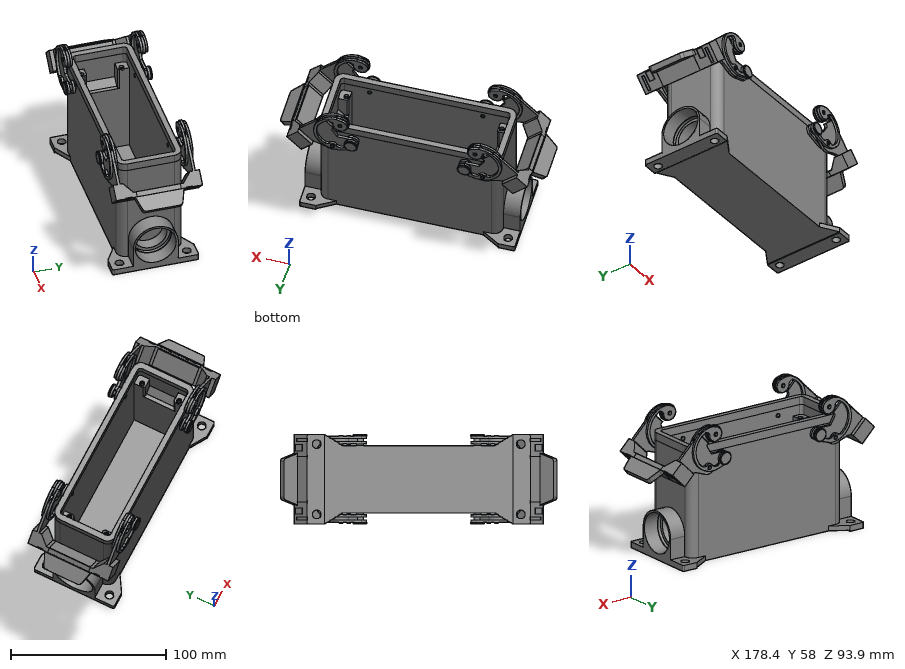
import cadquery as cq
import math

SHELL_LENGTH = 121.5
SHELL_WIDTH = 43.5
SHELL_CORNER = 6.0
SHELL_BOTTOM = 0.7
SHELL_TOP = 74.6
RIM_TOP = 80.0
CAVITY_LENGTH = 113.5
CAVITY_WIDTH = 36.0
CAVITY_CORNER = 2.1
FLOOR_TOP = 4.6

POST_LENGTH = 7.1
POST_WIDTH = 7.7
POST_TOP = 67.8
POST_CHAMFER = 1.2
POST_SCREW_X = 52.0
POST_SCREW_Y = 13.4
SCREW_DIAMETER = 2.0
SCREW_SINK_DIAMETER = 3.2
SCREW_SINK_DEPTH = 1.8
SCREW_DEPTH = 10.7
LEDGE_TOP = 52.5
LEDGE_SLOPE = 4.5

OVERALL_WIDTH = 58.0
FOOT_END_X = 72.0
FOOT_PAD_X = 60.9
FOOT_TIP_X = 49.0
FOOT_TOP = 4.1
FOOT_CORNER = 1.0
FOOT_HOLE_X = 65.9
FOOT_HOLE_Y = 22.7
FOOT_HOLE_DIAMETER = 5.5

ENTRY_Z = 18.0
ENTRY_RADIUS = 15.2
ENTRY_BORE_STEPS = ((13.7, 10.4), (13.4, 12.5), (11.2, 20.5))

LAYER_MIDDLE = 25.3
PLATE_THICKNESS = 1.8
CHEEK_THICKNESS = 1.6
LAYER_STACK = PLATE_THICKNESS + 2 * CHEEK_THICKNESS
LAYER_INSIDE = LAYER_MIDDLE - LAYER_STACK / 2
LAYER_OUTSIDE = LAYER_MIDDLE + LAYER_STACK / 2
RIVET_PROJECTION = 0.5
RIVET_BASE_RADIUS = 1.5
RIVET_TIP_RADIUS = 0.98

PIVOT = (-37.8, 70.5)
PIVOT_RADIUS = 4.3
PIVOT_HEAD_RADIUS = 4.5
PIVOT_COLLAR_RADIUS = 2.3
PIVOT_HEAD_CHAMFER = 0.5
PIVOT_PIN_DIAMETER = 2.7
PIVOT_PIN_SETBACK = 0.7

RING_CENTRE = (-47.7, 78.7)
RING_OUTER_RADIUS = 15.2
RING_INNER_RADIUS = 13.2
RING_INNER_END = 237.0
RING_INNER_START = 113.0
HOOK_CENTRE = (-45.2, 88.2)
HOOK_RADIUS = 4.8
ROLLER_RADIUS = 5.5
LOWER_RIVET = (-50.2, 66.4)

BLOCK_CORNER = (-73.2, 74.8)
BLOCK_LENGTH = 10.2
BLOCK_DEPTH = 13.7
BLOCK_INSIDE = 22.7
BAR_INSIDE = 16.8
BAR_THICKNESS = 3.4
PLATE_REACH = 22.3
PLATE_END_DEPTH = 11.0
RECESS_DEPTH = 0.5
SLOT_START = 2.0
SLOT_END = 12.3
POCKET_START = 0.5
POCKET_END = 7.0
POCKET_INSIDE = 18.4
POCKET_OUTSIDE = 22.5

GRIP_HALF_WIDTH = 14.8
GRIP_SKIN = 0.7
TONGUE_TIP = (-89.2, 61.8)
TONGUE_ANGLE = 37.0
TONGUE_THICKNESS = 4.0
TONGUE_LENGTH = 13.4
TONGUE_FLARE_START = 9.3
TONGUE_FLARE_WIDTH = 32.1
TONGUE_ROOT_WIDTH = 35.7
TONGUE_TIP_WIDTH = 26.0
TONGUE_CORNER = 2.1


def polar(centre, radius, degrees):
    """Point at an angle on a circle in the XZ plane."""
    angle = math.radians(degrees)
    return (centre[0] + radius * math.cos(angle), centre[1] + radius * math.sin(angle))


def slope_point(along, depth):
    """XZ position of a point given in the lever block's sloping directions."""
    diagonal = math.sqrt(0.5)
    x = BLOCK_CORNER[0] + (along + depth) * diagonal
    z = BLOCK_CORNER[1] + (along - depth) * diagonal
    return (x, z)


def slope_plane(depth=0.0):
    """Plane with local X up the slope and its normal along the block depth."""
    x, z = slope_point(0, depth)
    return cq.Plane(origin=(x, 0, z), xDir=(1, 0, 1), normal=(1, 0, -1))


def side_sketch(distance):
    """XZ workplane at a distance on the -Y side; extruding moves away from the middle."""
    return cq.Workplane("XZ", origin=(0, -distance, 0))


def side_disc(centre, radius, start, end):
    """Disc on the -Y side between two distances from the middle plane."""
    return side_sketch(start).center(*centre).circle(radius).extrude(end - start)


def mirrored(shape, plane):
    """Shape joined with its mirror image."""
    return shape.union(shape.mirror(plane))


def rounded_block(length, width, corner, bottom, top):
    """Upright block with rounded vertical edges."""
    block = cq.Workplane("XY", origin=(0, 0, bottom)).rect(length, width).extrude(top - bottom)
    return block.edges("|Z").fillet(corner)


def cavity(bottom, top):
    """Opening shared by the shell and the rim."""
    return rounded_block(CAVITY_LENGTH, CAVITY_WIDTH, CAVITY_CORNER, bottom, top)


def end_foot():
    """Mounting foot at the -X end with two screw holes."""
    half_width = OVERALL_WIDTH / 2
    pad = (
        cq.Workplane("XY")
        .center(-(FOOT_END_X + FOOT_PAD_X) / 2, 0)
        .rect(FOOT_END_X - FOOT_PAD_X, OVERALL_WIDTH)
        .extrude(FOOT_TOP)
        .edges("|Z and <X")
        .fillet(FOOT_CORNER)
    )
    wedge_outline = [
        (-FOOT_PAD_X, -half_width),
        (-FOOT_TIP_X, -SHELL_WIDTH / 2),
        (-FOOT_TIP_X, SHELL_WIDTH / 2),
        (-FOOT_PAD_X, half_width),
    ]
    wedge = (
        cq.Workplane("XY", origin=(0, 0, SHELL_BOTTOM))
        .polyline(wedge_outline)
        .close()
        .extrude(FOOT_TOP - SHELL_BOTTOM)
    )
    holes = (
        cq.Workplane("XY")
        .pushPoints([(-FOOT_HOLE_X, -FOOT_HOLE_Y), (-FOOT_HOLE_X, FOOT_HOLE_Y)])
        .circle(FOOT_HOLE_DIAMETER / 2)
        .extrude(FOOT_TOP)
    )
    return pad.union(wedge).cut(holes)


def entry_boss():
    """Arched cable entry boss at the -X end."""
    length = FOOT_END_X - SHELL_LENGTH / 2
    barrel = cq.Workplane("YZ", origin=(-FOOT_END_X, 0, ENTRY_Z)).circle(ENTRY_RADIUS).extrude(length)
    base = (
        cq.Workplane("YZ", origin=(-FOOT_END_X, 0, ENTRY_Z / 2))
        .rect(2 * ENTRY_RADIUS, ENTRY_Z)
        .extrude(length)
    )
    return barrel.union(base)


def entry_bore():
    """Stepped blind bore of the cable entry at the -X end."""
    face = cq.Workplane("YZ", origin=(-FOOT_END_X, 0, ENTRY_Z))
    bore = cq.Workplane("XY")
    for radius, depth in ENTRY_BORE_STEPS:
        bore = bore.union(face.circle(radius).extrude(depth))
    return bore


def end_ledge():
    """Ledge along the -X end wall that slopes up to the wall."""
    wall_x = -CAVITY_LENGTH / 2
    outline = [
        (wall_x, FLOOR_TOP),
        (wall_x + POST_LENGTH, FLOOR_TOP),
        (wall_x + POST_LENGTH, LEDGE_TOP),
        (wall_x + LEDGE_SLOPE, LEDGE_TOP),
        (wall_x, LEDGE_TOP + LEDGE_SLOPE),
    ]
    return (
        cq.Workplane("XZ", origin=(0, CAVITY_WIDTH / 2, 0))
        .polyline(outline)
        .close()
        .extrude(CAVITY_WIDTH)
    )


def corner_post():
    """Post with a counterbored screw hole in the -X, -Y corner of the cavity."""
    centre_x = (POST_LENGTH - CAVITY_LENGTH) / 2
    centre_y = (POST_WIDTH - CAVITY_WIDTH) / 2
    post = (
        cq.Workplane("XY", origin=(centre_x, centre_y, FLOOR_TOP))
        .rect(POST_LENGTH, POST_WIDTH)
        .extrude(POST_TOP - FLOOR_TOP)
        .edges("|Z and >X and >Y")
        .chamfer(POST_CHAMFER)
    )
    top = cq.Workplane("XY", origin=(-POST_SCREW_X, -POST_SCREW_Y, POST_TOP))
    hole = top.circle(SCREW_DIAMETER / 2).extrude(-SCREW_DEPTH)
    sink = top.circle(SCREW_SINK_DIAMETER / 2).extrude(-SCREW_SINK_DEPTH)
    return post.cut(hole).cut(sink)


def make_housing():
    """Open-topped housing with feet, cable entries, posts and pivot holes."""
    shell = rounded_block(SHELL_LENGTH, SHELL_WIDTH, SHELL_CORNER, SHELL_BOTTOM, SHELL_TOP)
    outside = shell.union(mirrored(end_foot().union(entry_boss()), "YZ"))
    housing = outside.cut(cavity(FLOOR_TOP, SHELL_TOP))
    housing = housing.union(mirrored(end_ledge(), "YZ"))
    housing = housing.union(mirrored(mirrored(corner_post(), "XZ"), "YZ"))
    pivot_hole = side_disc(PIVOT, PIVOT_PIN_DIAMETER / 2, CAVITY_WIDTH / 2, SHELL_WIDTH / 2)
    pivot_holes = mirrored(mirrored(pivot_hole, "XZ"), "YZ")
    return housing.cut(mirrored(entry_bore(), "YZ")).cut(pivot_holes)


def make_rim():
    """Closed frame that sits on the top edge of the housing."""
    frame = rounded_block(SHELL_LENGTH, SHELL_WIDTH, SHELL_CORNER, SHELL_TOP, RIM_TOP)
    return frame.cut(cavity(SHELL_TOP, RIM_TOP))


def side_plate():
    """Middle layer of a lever arm, from the block to the pivot, with the hook roller."""
    start = LAYER_MIDDLE - PLATE_THICKNESS / 2
    end = LAYER_MIDDLE + PLATE_THICKNESS / 2
    plate = (
        side_sketch(start)
        .moveTo(*slope_point(0, 0))
        .lineTo(*slope_point(PLATE_REACH, 0))
        .lineTo(*slope_point(PLATE_REACH, PLATE_END_DEPTH))
        .threePointArc((-50.9, 81.2), (-50.5, 79.8))
        .lineTo(-47.3, SHELL_TOP)
        .lineTo(PIVOT[0], SHELL_TOP)
        .lineTo(*PIVOT)
        .lineTo(-45.3, 63.9)
        .threePointArc((-49.6, 61.4), (-54.5, 62.5))
        .lineTo(-60.5, 64.6)
        .lineTo(*slope_point(0, BLOCK_DEPTH))
        .close()
        .extrude(end - start)
    )
    return plate.union(side_disc(HOOK_CENTRE, ROLLER_RADIUS, start, end))


def hooked_cheek(start):
    """Hook-shaped layer of a lever arm, starting at a distance from the middle plane."""
    end = start + CHEEK_THICKNESS
    ring = (
        side_sketch(start)
        .moveTo(*polar(RING_CENTRE, RING_OUTER_RADIUS, 90))
        .threePointArc(
            polar(RING_CENTRE, RING_OUTER_RADIUS, 180),
            polar(RING_CENTRE, RING_OUTER_RADIUS, 280),
        )
        .lineTo(*polar(PIVOT, PIVOT_RADIUS, -65))
        .lineTo(*PIVOT)
        .lineTo(-41.5, 68.7)
        .threePointArc((-45.2, 66.2), (-47.7, 67.3))
        .threePointArc((-50.2, 69.0), (-52.7, 67.8))
        .lineTo(*polar(RING_CENTRE, RING_INNER_RADIUS, RING_INNER_END))
        .threePointArc(
            polar(RING_CENTRE, RING_INNER_RADIUS, 180),
            polar(RING_CENTRE, RING_INNER_RADIUS, RING_INNER_START),
        )
        .threePointArc((-51.0, 90.1), (-49.8, 88.5))
        .lineTo(*HOOK_CENTRE)
        .lineTo(*polar(HOOK_CENTRE, HOOK_RADIUS, 75))
        .close()
        .extrude(CHEEK_THICKNESS)
    )
    hook_end = side_disc(HOOK_CENTRE, HOOK_RADIUS, start, end)
    pivot_end = side_disc(PIVOT, PIVOT_RADIUS, start, end)
    return ring.union(hook_end).union(pivot_end)


def rivet_head(centre, distance, projection):
    """Tapered rivet head; a negative projection points towards the middle plane."""
    return (
        side_sketch(distance)
        .center(*centre)
        .circle(RIVET_BASE_RADIUS)
        .workplane(offset=projection)
        .circle(RIVET_TIP_RADIUS)
        .loft()
    )


def pivot_pin():
    """Pivot with outer head, collar against the housing and pin set into its wall."""
    pin_end = CAVITY_WIDTH / 2 + PIVOT_PIN_SETBACK
    pin = side_disc(PIVOT, PIVOT_PIN_DIAMETER / 2, pin_end, LAYER_OUTSIDE)
    collar = side_disc(PIVOT, PIVOT_COLLAR_RADIUS, SHELL_WIDTH / 2, LAYER_OUTSIDE)
    head = side_disc(PIVOT, PIVOT_HEAD_RADIUS, LAYER_OUTSIDE, OVERALL_WIDTH / 2)
    head = head.faces("<Y").chamfer(PIVOT_HEAD_CHAMFER)
    return pin.union(collar).union(head)


def lever_arm():
    """Complete layered arm on the -Y side."""
    arm = side_plate()
    for start in (LAYER_INSIDE, LAYER_OUTSIDE - CHEEK_THICKNESS):
        arm = arm.union(hooked_cheek(start))
    for centre in (HOOK_CENTRE, LOWER_RIVET):
        arm = arm.union(rivet_head(centre, LAYER_OUTSIDE, RIVET_PROJECTION))
        arm = arm.union(rivet_head(centre, LAYER_INSIDE, -RIVET_PROJECTION))
    return arm.union(pivot_pin())


def block_box(along, side, depth):
    """Box in the block's directions from (start, end) pairs; side is a distance in Y."""
    return (
        cq.Workplane(slope_plane(depth[0]))
        .center(sum(along) / 2, sum(side) / 2)
        .rect(along[1] - along[0], side[1] - side[0])
        .extrude(depth[1] - depth[0])
    )


def grip_insert():
    """Part of the grip that fills the seat in the block's cross bar."""
    return block_box(
        (-BLOCK_LENGTH, BAR_THICKNESS - BLOCK_LENGTH),
        (-GRIP_HALF_WIDTH, GRIP_HALF_WIDTH),
        (GRIP_SKIN, BLOCK_DEPTH),
    )


def lever_block():
    """U-shaped block that joins the two arms, with a seat for the grip."""
    half_width = OVERALL_WIDTH / 2
    bar_inside = BAR_THICKNESS - BLOCK_LENGTH
    outline = [
        (-BLOCK_LENGTH, -half_width),
        (0, -half_width),
        (0, -BLOCK_INSIDE),
        (bar_inside, -BAR_INSIDE),
        (bar_inside, BAR_INSIDE),
        (0, BLOCK_INSIDE),
        (0, half_width),
        (-BLOCK_LENGTH, half_width),
    ]
    block = cq.Workplane(slope_plane()).polyline(outline).close().extrude(BLOCK_DEPTH)
    recess = (-BLOCK_LENGTH, RECESS_DEPTH - BLOCK_LENGTH)
    slot_side = (LAYER_MIDDLE - PLATE_THICKNESS / 2, LAYER_MIDDLE + PLATE_THICKNESS / 2)
    slot = block_box(recess, slot_side, (SLOT_START, SLOT_END))
    pocket = block_box(recess, (POCKET_INSIDE, POCKET_OUTSIDE), (POCKET_START, POCKET_END))
    return block.cut(mirrored(slot.union(pocket), "XZ")).cut(grip_insert())


def make_lever():
    """Locking lever at the -X end."""
    return lever_block().union(mirrored(lever_arm(), "XZ"))


def make_grip():
    """Finger grip at the -X end: a tapered tongue on the insert in the lever block."""
    angle = math.radians(TONGUE_ANGLE)
    tongue_plane = cq.Plane(
        origin=(TONGUE_TIP[0], 0, TONGUE_TIP[1]),
        xDir=(math.cos(angle), 0, math.sin(angle)),
        normal=(math.sin(angle), 0, -math.cos(angle)),
    )
    outline = [
        (0, -TONGUE_TIP_WIDTH / 2),
        (TONGUE_FLARE_START, -TONGUE_FLARE_WIDTH / 2),
        (TONGUE_LENGTH, -TONGUE_ROOT_WIDTH / 2),
        (TONGUE_LENGTH, TONGUE_ROOT_WIDTH / 2),
        (TONGUE_FLARE_START, TONGUE_FLARE_WIDTH / 2),
        (0, TONGUE_TIP_WIDTH / 2),
    ]
    tongue = (
        cq.Workplane(tongue_plane)
        .polyline(outline)
        .close()
        .extrude(TONGUE_THICKNESS)
        .edges(cq.selectors.ParallelDirSelector(tongue_plane.zDir))
        .edges("<X")
        .fillet(TONGUE_CORNER)
    )
    beyond_face = block_box(
        (-BLOCK_LENGTH, TONGUE_LENGTH),
        (-OVERALL_WIDTH / 2, OVERALL_WIDTH / 2),
        (-TONGUE_LENGTH, BLOCK_DEPTH),
    )
    return tongue.cut(beyond_face).union(grip_insert())


bodies = [make_housing().solids().val(), make_rim().solids().val()]
for make_body in (make_lever, make_grip):
    for turn in (0, 180):
        body = make_body().rotate((0, 0, 0), (0, 0, 1), turn)
        bodies.append(body.solids().val())

result = cq.Compound.makeCompound(bodies)